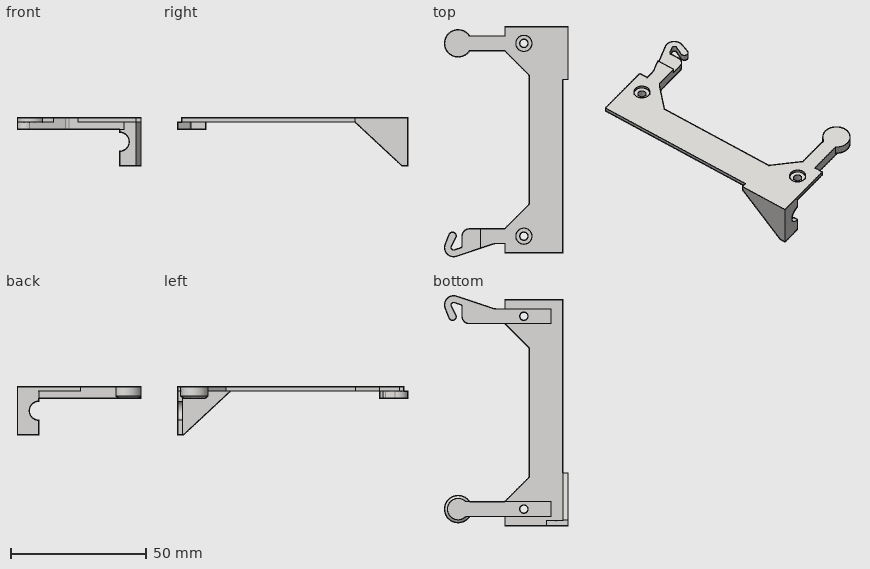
import cadquery as cq
import math


plate_thickness = 1.6
plate_left = 22.3
plate_right = 43.8
plate_front = 1.45
plate_back = 85.1
strip_left = 31.3
middle_y = (plate_front + plate_back) / 2

arm_width = 5.5
arm_height = 4.3
arm_inset = 3.4
arm_end_x = 39.3
hook_arm_front = plate_front + arm_inset
hook_arm_back = hook_arm_front + arm_width
hook_arm_y = hook_arm_front + arm_width / 2
disc_arm_y = 2 * middle_y - hook_arm_y

disc_diameter = 10.1
disc_chamfer_height = 0.85
disc_chamfer_width = 1.1

hook_step_x = 13.3
hook_slope = math.radians(18.5)
hook_center = (3.4, 3.4)
hook_radius = 3.4
throat_center = (3.4, 3.5)
throat_radius = 0.9
tip_center = (3.0, 7.75)
tip_radius = 1.405
mouth_x = 6.5
mouth_round = 2.7
throat_round = 0.5
bend_round = 4.25

screw_x = 29.4
screw_diameter = 3.0
head_diameter = 6
head_depth = 1.0

bracket_right = 45.7
bracket_height = 17.8
bracket_length = 19.6
bracket_foot = 2.2
wall_left = 37.8
wall_thickness = 1.9
notch_radius = 3.5
notch_z = -8.895


def circle_point(center, radius, direction):
    """Point of a circle in the given unit direction."""
    return (center[0] + radius * direction[0], center[1] + radius * direction[1])


def left_tangent_normal(lower, lower_radius, upper, upper_radius):
    """Left-pointing unit normal of the line tangent to two circles.

    A negative radius puts that circle on the left of the line.
    """
    dx = upper[0] - lower[0]
    dy = upper[1] - lower[1]
    axis_angle = math.atan2(dy, dx)
    angle = axis_angle + math.acos((lower_radius - upper_radius) / math.hypot(dx, dy))
    return (math.cos(angle), math.sin(angle))


def block(x_min, x_max, y_min, y_max, z_min, z_max):
    size = (x_max - x_min, y_max - y_min, z_max - z_min)
    return cq.Workplane().box(*size, centered=False).translate((x_min, y_min, z_min))


def make_plate():
    shoulder = strip_left - plate_left
    outline = [
        (plate_left, plate_front),
        (plate_right, plate_front),
        (plate_right, plate_back),
        (plate_left, plate_back),
        (plate_left, 2 * middle_y - hook_arm_back),
        (strip_left, 2 * middle_y - hook_arm_back - shoulder),
        (strip_left, hook_arm_back + shoulder),
        (plate_left, hook_arm_back),
    ]
    return cq.Workplane().polyline(outline).close().extrude(-plate_thickness)


def make_disc_arm():
    disc_radius = disc_diameter / 2
    chamfer_top = disc_chamfer_height - arm_height
    disc_profile = [
        (0, 0),
        (disc_radius, 0),
        (disc_radius, chamfer_top),
        (disc_radius - disc_chamfer_width, -arm_height),
        (0, -arm_height),
    ]
    disc = cq.Workplane("XZ").polyline(disc_profile).close().revolve(360, (0, 0), (0, 1))
    disc = disc.translate((disc_radius, disc_arm_y, 0))
    half_width = arm_width / 2
    arm = block(disc_radius, arm_end_x, disc_arm_y - half_width, disc_arm_y + half_width, -arm_height, 0)
    return disc.union(arm)


def make_hook_arm():
    slope_normal = (math.sin(hook_slope), -math.cos(hook_slope))
    outer_normal = left_tangent_normal(hook_center, hook_radius, tip_center, tip_radius)
    inner_normal = left_tangent_normal(throat_center, throat_radius, tip_center, -tip_radius)
    lower_left = (-math.sqrt(0.5), -math.sqrt(0.5))

    slope_start = circle_point(hook_center, hook_radius, slope_normal)
    bend_x = slope_start[0] + (hook_arm_front - slope_start[1]) / math.tan(hook_slope)
    throat_end = circle_point(throat_center, throat_radius, slope_normal)
    mouth_bottom = throat_end[1] + (mouth_x - throat_end[0]) * math.tan(hook_slope)

    arm = (
        cq.Workplane()
        .moveTo(arm_end_x, hook_arm_back)
        .lineTo(arm_end_x, hook_arm_front)
        .lineTo(bend_x, hook_arm_front)
        .lineTo(*slope_start)
        .threePointArc(
            circle_point(hook_center, hook_radius, lower_left),
            circle_point(hook_center, hook_radius, outer_normal),
        )
        .lineTo(*circle_point(tip_center, tip_radius, outer_normal))
        .threePointArc(
            circle_point(tip_center, tip_radius, (0, 1)),
            circle_point(tip_center, -tip_radius, inner_normal),
        )
        .lineTo(*circle_point(throat_center, throat_radius, inner_normal))
        .threePointArc(circle_point(throat_center, throat_radius, lower_left), throat_end)
        .lineTo(mouth_x, mouth_bottom)
        .lineTo(mouth_x, hook_arm_back)
        .close()
        .extrude(-arm_height)
    )
    rounded_corners = [
        (bend_x, hook_arm_front, bend_round),
        (mouth_x, mouth_bottom, throat_round),
        (mouth_x, hook_arm_back, mouth_round),
    ]
    for x, y, radius in rounded_corners:
        corner = cq.selectors.NearestToPointSelector((x, y, -arm_height / 2))
        arm = arm.edges("|Z").edges(corner).fillet(radius)
    return arm.cut(block(0, hook_step_x, 0, hook_arm_back, -plate_thickness, 0))


def make_bracket():
    side_profile = [
        (plate_back, 0),
        (plate_back, -bracket_height),
        (plate_back - bracket_foot, -bracket_height),
        (plate_back - bracket_length, -plate_thickness),
        (plate_back - bracket_length, 0),
    ]
    side = cq.Workplane("YZ", origin=(plate_right, 0, 0)).polyline(side_profile).close()
    side = side.extrude(bracket_right - plate_right)
    wall = block(wall_left, bracket_right, plate_back - wall_thickness, plate_back, -bracket_height, 0)
    notch = (
        cq.Workplane("XZ", origin=(0, plate_back, 0))
        .center(wall_left, notch_z)
        .circle(notch_radius)
        .extrude(wall_thickness)
    )
    return side.union(wall.cut(notch))


body = make_plate().union(make_disc_arm()).union(make_hook_arm()).union(make_bracket())
result = (
    body.copyWorkplane(cq.Workplane())
    .pushPoints([(screw_x, hook_arm_y), (screw_x, disc_arm_y)])
    .cboreHole(screw_diameter, head_diameter, head_depth)
)